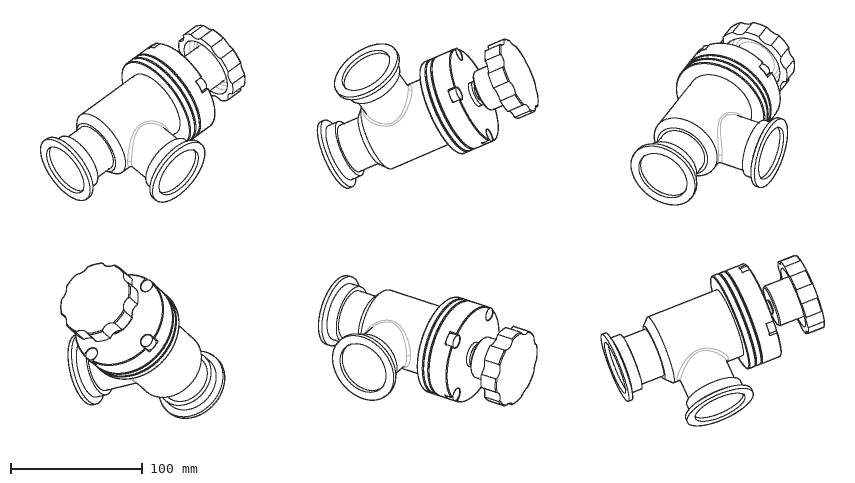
import cadquery as cq
import math


CLEARANCE = 1.6

PORT_REACH = 61.0
TUBE_RADIUS = 19.1
COLLAR_RADIUS = 22.4
COLLAR_LENGTH = 12.9
RIM_RADIUS = 27.5
RIM_THICKNESS = 3.1
RIM_TAPER_LENGTH = 1.5
BORE_RADIUS = 20.6
BORE_DEPTH = 3.1
WELD_RADIUS = 2.1

BODY_RADIUS = 27.0
BODY_CHAMFER = 5.4
BODY_BOTTOM = -28.8

BONNET_RADIUS = 38.0
BONNET_BOTTOM = 33.7
LOWER_DISC_TOP = 39.2
MIDDLE_DISC_TOP = 44.1
BONNET_TOP = 60.5
BONNET_CHAMFER = 0.7
SCREW_COUNT = 4
SCREW_FIRST_ANGLE = 45
SCREW_CIRCLE_RADIUS = 33.4
SCREW_HEAD_RADIUS = 4.9
SLOT_HALF_WIDTH = 5.2
SLOT_DEPTH = 6.4
SCREW_HEAD_DROP = 0.3

GLAND_RADIUS = 9.6
GLAND_TOP = 63.5
STEM_RADIUS = 5.7
STEM_NECK_RADIUS = 5.0
STEM_TOP = 67.0

HUB_RADIUS = 16.2
HUB_BOTTOM = 67.9
HUB_CHAMFER = 1.0
KNOB_RADIUS = 30.0
KNOB_BOTTOM = 86.2
KNOB_SHOULDER = 99.7
KNOB_CHAMFER = 0.8
OVERALL_LENGTH = 163.5
KNOB_TOP = OVERALL_LENGTH - PORT_REACH
LOBE_COUNT = 8
SCALLOP_CHORD = 11.5
SCALLOP_DEPTH = 2.8
POCKET_RADIUS = 23.9
POCKET_DEPTH = 8.2
POCKET_FILLET = 2.5


def rod(radius, bottom, top):
    """Cylinder on the main axis between two Y positions."""
    return cq.Workplane("XZ", origin=(0, bottom, 0)).circle(radius).extrude(bottom - top)


def port():
    """Tube and clamp ferrule from the origin along -Y, closed by a shallow recess."""
    rim_back = PORT_REACH - RIM_THICKNESS
    taper_back = rim_back - RIM_TAPER_LENGTH
    collar_back = PORT_REACH - COLLAR_LENGTH
    recess_floor = PORT_REACH - BORE_DEPTH
    return (
        cq.Workplane("XY")
        .moveTo(0, 0)
        .lineTo(TUBE_RADIUS, 0)
        .lineTo(TUBE_RADIUS, -collar_back)
        .lineTo(COLLAR_RADIUS, -collar_back)
        .lineTo(COLLAR_RADIUS, -taper_back)
        .lineTo(RIM_RADIUS, -rim_back)
        .lineTo(RIM_RADIUS, -PORT_REACH)
        .lineTo(BORE_RADIUS, -PORT_REACH)
        .lineTo(BORE_RADIUS, -recess_floor)
        .lineTo(0, -recess_floor)
        .close()
        .revolve(360, (0, 0, 0), (0, 1, 0))
    )


def body():
    """Chamfered barrel with the side port joined by a weld fillet and the end port below."""
    barrel = rod(BODY_RADIUS, BODY_BOTTOM, BONNET_BOTTOM).faces("<Y").chamfer(BODY_CHAMFER)
    side_port = port().rotate((0, 0, 0), (0, 0, 1), 90)
    tee = barrel.union(side_port)
    seam_reach = TUBE_RADIUS + CLEARANCE
    seam_zone = cq.selectors.BoxSelector(
        (0, -seam_reach, -seam_reach), (BODY_RADIUS + CLEARANCE, seam_reach, seam_reach)
    )
    return tee.edges(seam_zone).fillet(WELD_RADIUS).union(port())


def screw_seats(height, radius):
    """Points around the main axis, one per screw, in the plane at a given Y position."""
    plane = cq.Workplane("XZ", origin=(0, height, 0))
    return plane.polarArray(radius, SCREW_FIRST_ANGLE, 360, SCREW_COUNT)


def bonnet():
    """Stack of edge-chamfered discs with screw heads set in open slots around its upper edge."""
    levels = (BONNET_BOTTOM, LOWER_DISC_TOP, MIDDLE_DISC_TOP, BONNET_TOP)
    stack = cq.Workplane("XZ")
    for bottom, top in zip(levels, levels[1:]):
        stack = stack.union(rod(BONNET_RADIUS, bottom, top).faces("<Y or >Y").chamfer(BONNET_CHAMFER))
    slot_reach = BONNET_RADIUS + CLEARANCE - SCREW_CIRCLE_RADIUS
    slot_mouths = (
        screw_seats(BONNET_TOP, SCREW_CIRCLE_RADIUS + slot_reach / 2)
        .rect(slot_reach, 2 * SLOT_HALF_WIDTH)
        .extrude(SLOT_DEPTH)
    )
    slot_ends = screw_seats(BONNET_TOP, SCREW_CIRCLE_RADIUS).circle(SLOT_HALF_WIDTH).extrude(SLOT_DEPTH)
    screw_heads = (
        screw_seats(BONNET_TOP - SCREW_HEAD_DROP, SCREW_CIRCLE_RADIUS)
        .circle(SCREW_HEAD_RADIUS)
        .extrude(SLOT_DEPTH - SCREW_HEAD_DROP)
    )
    return stack.cut(slot_mouths).cut(slot_ends).union(screw_heads)


def stem():
    """Gland ring, stem and the thin neck that enters the knob hub."""
    gland = rod(GLAND_RADIUS, BONNET_TOP, GLAND_TOP)
    shaft = rod(STEM_RADIUS, GLAND_TOP, STEM_TOP)
    neck = rod(STEM_NECK_RADIUS, STEM_TOP, HUB_BOTTOM)
    return gland.union(shaft).union(neck)


def knob():
    """Scalloped hand knob with a domed top, a hollow underside and a central hub."""
    crown_radius = KNOB_RADIUS - KNOB_CHAMFER
    dome_rise = KNOB_TOP - KNOB_SHOULDER
    dome_radius = (crown_radius**2 + dome_rise**2) / (2 * dome_rise)
    mid_x = crown_radius / 2
    mid_y = KNOB_TOP - dome_radius + math.sqrt(dome_radius**2 - mid_x**2)
    head = (
        cq.Workplane("XY")
        .moveTo(0, KNOB_BOTTOM)
        .lineTo(KNOB_RADIUS, KNOB_BOTTOM)
        .lineTo(KNOB_RADIUS, KNOB_SHOULDER - KNOB_CHAMFER)
        .lineTo(crown_radius, KNOB_SHOULDER)
        .threePointArc((mid_x, mid_y), (0, KNOB_TOP))
        .close()
        .revolve(360, (0, 0, 0), (0, 1, 0))
    )
    half_chord = SCALLOP_CHORD / 2
    chord_distance = math.sqrt(KNOB_RADIUS**2 - half_chord**2)
    sagitta = SCALLOP_DEPTH - (KNOB_RADIUS - chord_distance)
    scallop_radius = (half_chord**2 + sagitta**2) / (2 * sagitta)
    scallop_distance = chord_distance - sagitta + scallop_radius
    scallops = (
        cq.Workplane("XZ", origin=(0, KNOB_BOTTOM, 0))
        .polarArray(scallop_distance, 180 / LOBE_COUNT, 360, LOBE_COUNT)
        .circle(scallop_radius)
        .extrude(KNOB_BOTTOM - KNOB_TOP)
    )
    pocket = (
        rod(POCKET_RADIUS, KNOB_BOTTOM, KNOB_BOTTOM + POCKET_DEPTH)
        .cut(rod(HUB_RADIUS, KNOB_BOTTOM, KNOB_BOTTOM + POCKET_DEPTH))
        .faces(">Y")
        .edges()
        .fillet(POCKET_FILLET)
    )
    hub = rod(HUB_RADIUS, HUB_BOTTOM, KNOB_BOTTOM).faces("<Y").chamfer(HUB_CHAMFER)
    return head.cut(scallops).cut(pocket).union(hub)


result = body().union(bonnet()).union(stem()).union(knob())